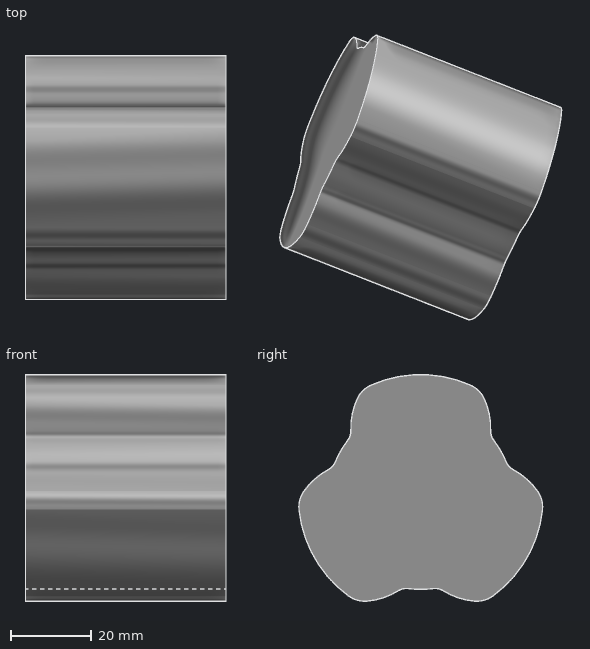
import cadquery as cq
import math

length = 50.0
lobe_count = 3
tip_radius = 30.5
valley_radius = 23.0
flank_radius = 17.4
flank_center = (0, 17.1)
corner_radius = 6.8
root_fillet_radius = 3.9
axis = (0, 0)


def toward(start, target, distance):
    """Point at a distance from start along the line to target."""
    ratio = distance / math.dist(start, target)
    return tuple(s + ratio * (t - s) for s, t in zip(start, target))


def center_from(axis_distance, flank_distance):
    """Point on the valley side at given distances from the axis and the flank center."""
    spacing = flank_center[1]
    along = (axis_distance**2 - flank_distance**2 + spacing**2) / (2 * spacing)
    across = math.sqrt(axis_distance**2 - along**2)
    return (across, along)


def arc_middle(center, radius, start, end):
    """Middle of the shorter arc from start to end."""
    chord_middle = tuple((s + e) / 2 for s, e in zip(start, end))
    return toward(center, chord_middle, radius)


def half_lobe_arcs():
    """(start, middle, end) of each tangent arc from the lobe tip to the valley bottom."""
    corner_center = center_from(tip_radius - corner_radius, flank_radius - corner_radius)
    root_center = center_from(valley_radius + root_fillet_radius, flank_radius + root_fillet_radius)
    half_pitch = math.pi / lobe_count

    tip = (0, tip_radius)
    tip_end = toward(axis, corner_center, tip_radius)
    corner_end = toward(flank_center, corner_center, flank_radius)
    flank_end = toward(flank_center, root_center, flank_radius)
    root_end = toward(axis, root_center, valley_radius)
    valley = (valley_radius * math.sin(half_pitch), valley_radius * math.cos(half_pitch))

    circles = [
        (axis, tip_radius, tip_end),
        (corner_center, corner_radius, corner_end),
        (flank_center, flank_radius, flank_end),
        (root_center, root_fillet_radius, root_end),
        (axis, valley_radius, valley),
    ]
    arcs = []
    start = tip
    for center, radius, end in circles:
        arcs.append((start, arc_middle(center, radius, start, end), end))
        start = end
    return arcs


def mirrored(arcs):
    """Arcs reflected across the lobe's centerline, running back to the tip."""
    return [tuple((-y, z) for y, z in reversed(arc)) for arc in reversed(arcs)]


def turned(point, angle):
    """Point rotated clockwise about the axis."""
    y, z = point
    return (y * math.cos(angle) + z * math.sin(angle), z * math.cos(angle) - y * math.sin(angle))


right_half = half_lobe_arcs()
lobe = mirrored(right_half) + right_half
profile = cq.Workplane("YZ").moveTo(*lobe[0][0])
for index in range(lobe_count):
    lobe_angle = index * 2 * math.pi / lobe_count
    for _, middle, end in lobe:
        profile = profile.threePointArc(turned(middle, lobe_angle), turned(end, lobe_angle))

result = profile.close().extrude(length)